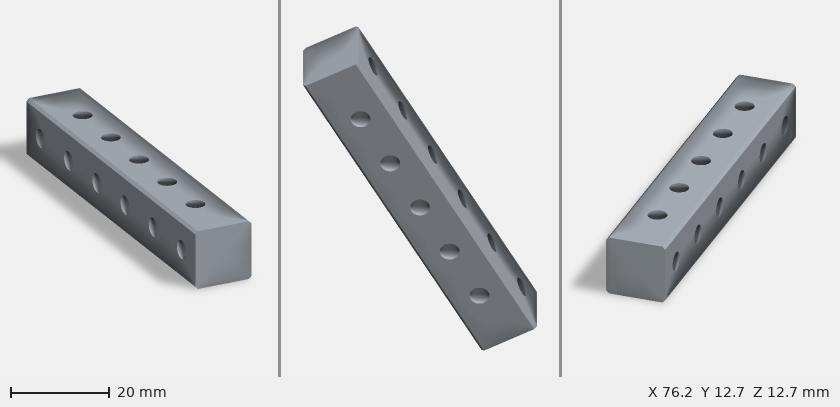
import cadquery as cq

length = 76.2
front_hole_count = 6
hole_diameter = 4.05
edge_chamfer = 0.6

pitch = length / front_hole_count
side = pitch
top_hole_count = front_hole_count - 1


def hole_row(plane, count):
    """Row of through-hole cutters, centred along the bar and normal to the plane."""
    return (
        cq.Workplane(plane)
        .rarray(pitch, side, count, 1)
        .circle(hole_diameter / 2)
        .extrude(side, both=True)
    )


bar = cq.Workplane("XY").box(length, side, side).edges("|X").chamfer(edge_chamfer)

result = bar.cut(hole_row("XZ", front_hole_count)).cut(hole_row("XY", top_hole_count))